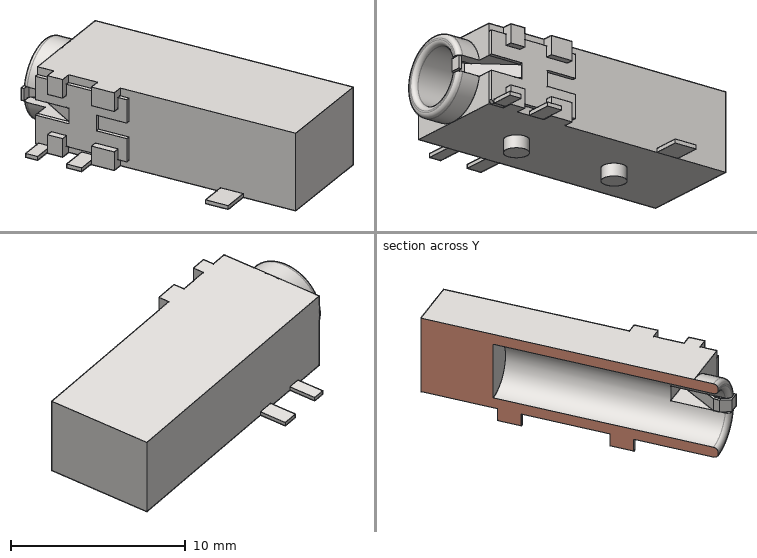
import cadquery as cq


BODY_LENGTH = 17.0
BODY_WIDTH = 6.7
BODY_HEIGHT = 5.0
SIDE_Y = BODY_WIDTH / 2
AXIS_Z = BODY_HEIGHT / 2

BARREL_DIAMETER = BODY_HEIGHT
BARREL_LENGTH = 1.5
BORE_DIAMETER = 3.6
BORE_DEPTH = 14.0
RIM_FILLET = 0.3

PLATE_THICKNESS = 0.25
PLATE_LENGTH = 6.02
PLATE_HEIGHT = 4.0
PLATE_BOTTOM = AXIS_Z - PLATE_HEIGHT / 2
PLATE_TOP = AXIS_Z + PLATE_HEIGHT / 2
PLATE_OUTER_Y = -SIDE_Y - PLATE_THICKNESS
SLOT_HEIGHT = 1.0
FRONT_SLOT_END = 2.2
REAR_SLOT_START = 4.02
CORNER_CHAMFER = 0.2

TONGUE_HEIGHT = 0.8
TONGUE_THICKNESS = 0.2
TONGUE_ROOT_INSET = 0.05
TONGUE_CREST_Y = -1.55
TONGUE_CREST_FRONT_X = -0.9
TONGUE_CREST_REAR_X = -0.55
TONGUE_TIP_BEND_Y = -1.87
TONGUE_TIP_END_Y = -2.54
TONGUE_TIP_X = -1.54

CLIPS = [(1.05, 1.0), (3.95, 1.5)]
CLIP_HEIGHT = 1.2
CLIP_OUTER_Y = -4.05

TAIL_THICKNESS = 0.25
TAIL_TIP_Y = 5.1
PLATE_TAIL_START = 0.2
PLATE_TAIL_WIDTH = 0.8
WALL_TAILS = [(2.9, 1.0, -1), (12.05, 1.5, -1), (2.1, 0.8, 1), (4.8, 1.0, 1)]

PEG_DIAMETER = 1.5
PEG_LENGTH = 0.8
PEG_XS = [4.5, 11.5]


def block(x_range, y_range, z_range):
    """Axis-aligned box given by its (low, high) limits."""
    limits = (x_range, y_range, z_range)
    size = [high - low for low, high in limits]
    corner = tuple(low for low, high in limits)
    return cq.Workplane("XY").box(*size, centered=False).translate(corner)


def centered_z(height):
    """Limits of a Z band centred on the plug axis."""
    return (AXIS_Z - height / 2, AXIS_Z + height / 2)


def make_plate_blank():
    """Flat contact plate with a strip reaching down to the plate tail."""
    plate_y = (PLATE_OUTER_Y, -SIDE_Y)
    plate = block((0, PLATE_LENGTH), plate_y, (PLATE_BOTTOM, PLATE_TOP))
    strip_end = PLATE_TAIL_START + PLATE_TAIL_WIDTH
    strip = block((0, strip_end), plate_y, (0, PLATE_BOTTOM))
    strip = strip.edges("<X and <Z").chamfer(CORNER_CHAMFER)
    return plate.union(strip)


def make_housing():
    body = block((0, BODY_LENGTH), (-SIDE_Y, SIDE_Y), (0, BODY_HEIGHT))

    for start, length in CLIPS:
        for bottom in (0, BODY_HEIGHT - CLIP_HEIGHT):
            clip_z = (bottom, bottom + CLIP_HEIGHT)
            clip = block((start, start + length), (CLIP_OUTER_Y, -SIDE_Y), clip_z)
            body = body.union(clip)
    body = body.cut(make_plate_blank())

    mouth = cq.Workplane("YZ", origin=(-BARREL_LENGTH, 0, AXIS_Z))
    barrel = mouth.circle(BARREL_DIAMETER / 2).extrude(BARREL_LENGTH)
    bore = mouth.circle(BORE_DIAMETER / 2).extrude(BORE_DEPTH)
    body = body.union(barrel).cut(bore)
    body = body.faces("<X").edges().fillet(RIM_FILLET)

    slot = block((-BARREL_LENGTH, FRONT_SLOT_END), (-SIDE_Y, 0), centered_z(SLOT_HEIGHT))
    body = body.cut(slot)

    for x in PEG_XS:
        peg = cq.Workplane("XY", origin=(x, 0, 0)).circle(PEG_DIAMETER / 2).extrude(-PEG_LENGTH)
        body = body.union(peg)
    return body


def make_tongue():
    """Strip that runs inward to a crest in the bore, then hooks back out to its tip."""
    outer_crest_y = TONGUE_CREST_Y - TONGUE_THICKNESS
    outline = [
        (FRONT_SLOT_END, PLATE_OUTER_Y + TONGUE_ROOT_INSET),
        (TONGUE_CREST_REAR_X, outer_crest_y),
        (TONGUE_CREST_FRONT_X, outer_crest_y),
        (TONGUE_TIP_X + TONGUE_THICKNESS, TONGUE_TIP_BEND_Y - TONGUE_THICKNESS / 2),
        (TONGUE_TIP_X + TONGUE_THICKNESS, TONGUE_TIP_END_Y),
        (TONGUE_TIP_X, TONGUE_TIP_END_Y),
        (TONGUE_TIP_X, TONGUE_TIP_BEND_Y),
        (TONGUE_CREST_FRONT_X, TONGUE_CREST_Y),
        (TONGUE_CREST_REAR_X, TONGUE_CREST_Y),
        (FRONT_SLOT_END, -SIDE_Y),
    ]
    tongue = cq.Workplane("XY").polyline(outline).close().extrude(TONGUE_HEIGHT)
    return tongue.translate((0, 0, AXIS_Z - TONGUE_HEIGHT / 2))


def make_tail(start, width, inner_y, side):
    """Flat solder tail from inner_y out to the tail tip line on the given side."""
    y_range = sorted((inner_y, side * TAIL_TIP_Y))
    return block((start, start + width), y_range, (0, TAIL_THICKNESS))


def make_contact_plate():
    plate_y = (PLATE_OUTER_Y, -SIDE_Y)
    front_slot = block((0, FRONT_SLOT_END), plate_y, centered_z(SLOT_HEIGHT))
    rear_slot = block((REAR_SLOT_START, PLATE_LENGTH), plate_y, centered_z(SLOT_HEIGHT))
    return make_plate_blank().cut(front_slot).cut(rear_slot)


housing = make_housing()
contact_plate = make_contact_plate()
tongue = make_tongue()
plate_tail = make_tail(PLATE_TAIL_START, PLATE_TAIL_WIDTH, PLATE_OUTER_Y, -1)
wall_tails = [make_tail(start, width, side * SIDE_Y, side) for start, width, side in WALL_TAILS]

result = cq.Compound.makeCompound(
    [housing.val(), contact_plate.val(), tongue.val(), plate_tail.val()]
    + [tail.val() for tail in wall_tails]
)